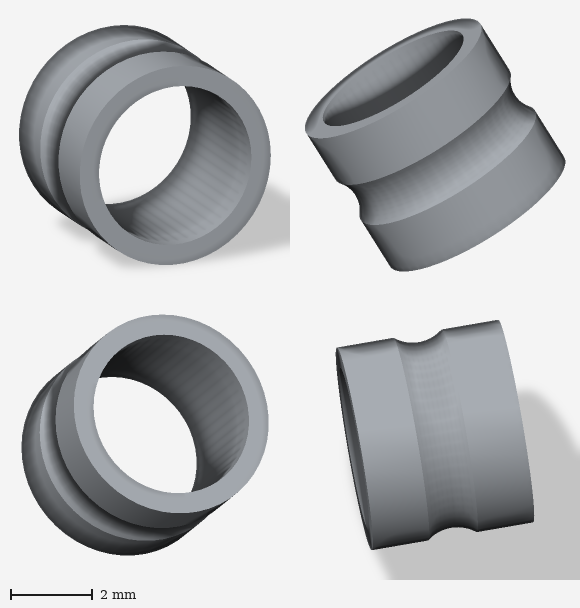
import cadquery as cq

outer_diameter = 5.02
bore_diameter = 4.0
length = 4.0
groove_width = 1.205
groove_depth = 0.21

outer_radius = outer_diameter / 2
bore_radius = bore_diameter / 2
half_length = length / 2
half_groove = groove_width / 2

half_section = (
    cq.Workplane("XY")
    .moveTo(-half_length, bore_radius)
    .lineTo(-half_length, outer_radius)
    .lineTo(-half_groove, outer_radius)
    .threePointArc((0, outer_radius - groove_depth), (half_groove, outer_radius))
    .lineTo(half_length, outer_radius)
    .lineTo(half_length, bore_radius)
    .close()
)

result = half_section.revolve(360, (0, 0, 0), (1, 0, 0))